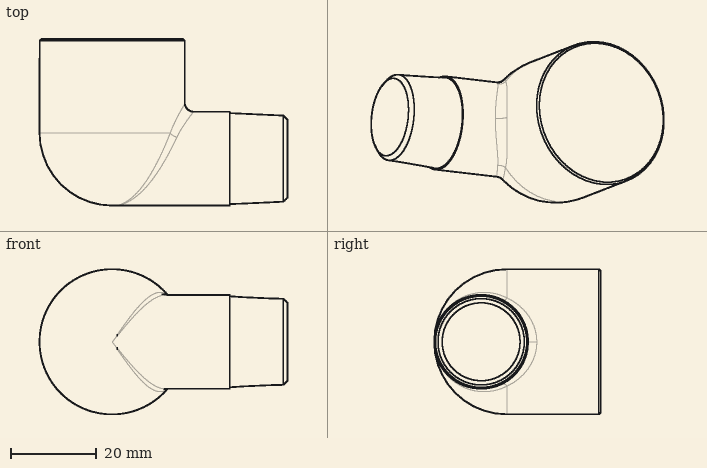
import cadquery as cq

total_length = 58
body_diameter = 34.0
body_radius = body_diameter / 2
body_length = 22.0
body_chamfer = 0.45
branch_diameter = 22.0
branch_radius = branch_diameter / 2
spigot_length = 13.5
spigot_root_diameter = 21.35
spigot_tip_diameter = 20.2
spigot_chamfer = 1.0
blend_radius = 2.0
blend_start_x = 1.15

branch_axis_y = branch_radius - body_radius
spigot_end_x = total_length - body_radius
branch_end_x = spigot_end_x - spigot_length


def make_body():
    """Cylindrical barrel along +Y, closed by a hemisphere towards -Y."""
    mouth_radius = body_radius - body_chamfer
    diagonal = body_radius * 0.5 ** 0.5
    return (
        cq.Workplane("XY")
        .moveTo(0, -body_radius)
        .threePointArc((diagonal, -diagonal), (body_radius, 0))
        .lineTo(body_radius, body_length - body_chamfer)
        .lineTo(mouth_radius, body_length)
        .lineTo(0, body_length)
        .close()
        .revolve(360, (0, 0, 0), (0, 1, 0))
    )


def make_branch():
    """Plain round branch from the sphere's centre plane along +X."""
    return (
        cq.Workplane("YZ")
        .center(branch_axis_y, 0)
        .circle(branch_radius)
        .extrude(branch_end_x)
    )


def make_spigot():
    """Tapered spigot with a chamfered tip, coaxial with the branch."""
    root_radius = spigot_root_diameter / 2
    tip_radius = spigot_tip_diameter / 2
    return (
        cq.Workplane("XY", origin=(0, branch_axis_y, 0))
        .moveTo(branch_end_x, 0)
        .lineTo(branch_end_x, root_radius)
        .lineTo(spigot_end_x - spigot_chamfer, tip_radius)
        .lineTo(spigot_end_x, tip_radius - spigot_chamfer)
        .lineTo(spigot_end_x, 0)
        .close()
        .revolve(360, (0, 0, 0), (1, 0, 0))
    )


def make_blended_junction(elbow):
    """Part of the plain elbow beyond the blend start, with its concave seam rounded.

    The seam ends in a tangent point at x = 0, where no fillet can be closed,
    so the blend stops on a flat face just short of it.
    """
    block_size = 4 * total_length
    keep_block = cq.Workplane("XY", origin=(blend_start_x + block_size / 2, 0, 0)).box(
        block_size, block_size, block_size
    )
    junction = elbow.intersect(keep_block)

    seam_clearance = 0.05
    seam_box = cq.selectors.BoxSelector(
        (blend_start_x + seam_clearance, -body_radius, -body_radius),
        (body_radius, body_length / 2, body_radius),
    )
    seam = junction.edges(seam_box).edges("not(%CIRCLE or %LINE)")
    return seam.fillet(blend_radius)


elbow = make_body().union(make_branch())
junction = make_blended_junction(elbow)
result = elbow.union(junction).union(make_spigot())